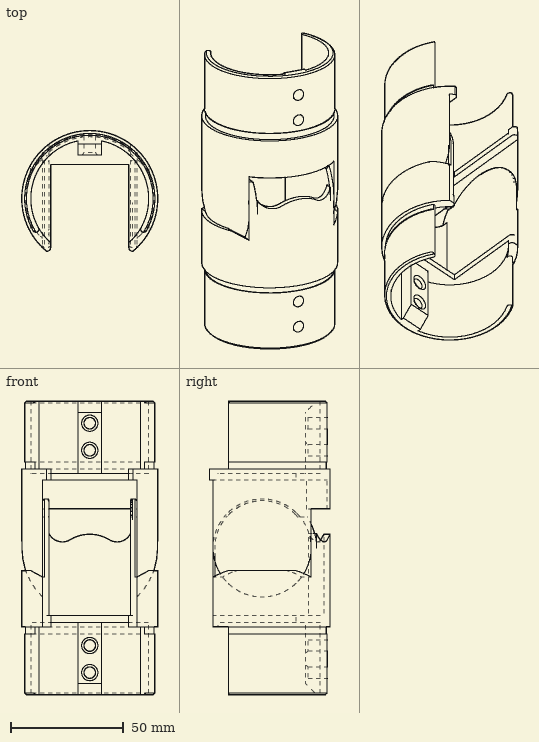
import cadquery as cq
import math

COLLAR_R = 30.15
COLLAR_END = 35.0
BODY_END = 65.0
CAP_INNER = 30.0
CAP_FLOOR = 33.0
SLOT_HALF = 17.25
SLOT_BACK = 15.0
SLOT_MOUTH_R = 1.7
HINGE_X = 20.9

SPIGOT_R = 28.85
NECK_R = 28.5
BORE_R = 26.1
NECK_LENGTH = 3.0
SPIGOT_FRONT = -14.9
SPIGOT_CHAMFER = 0.8

BLOCK_HALF = 5.2
BLOCK_FRONT = 19.2
BLOCK_BEVEL = 5.0
SCREW_HEIGHTS = (43.2, 55.2)
SCREW_D = 5.0
SCREW_SINK_D = 7.2

UPPER_TIP_Y = -23.35
UPPER_WALL_R = 28.7
UPPER_WALL_END = 17.3

CHEEK_INNER = 18.0
CHEEK_R = math.sqrt(COLLAR_R**2 - HINGE_X**2)
CHEEK_CHAMFER = 0.8
CHEEK_FILLET = 0.9
LOWER_WALL_R = 27.4
CHEEK_STEP = 13.6
RIM = -10.0
RIM_X = 26.2
RIM_INNER = -12.9
CREST = 6.1
VALLEY = 2.7
VALLEY_X = 12.1
VALLEY_R = 6.6

REACH = 80.0


def cylinder(radius, bottom, top):
    return cq.Workplane("XY").workplane(offset=bottom).circle(radius).extrude(top - bottom)


def block(x0, x1, y0, y1, z0, z1):
    return cq.Workplane("XY").box(x1 - x0, y1 - y0, z1 - z0, centered=False).translate((x0, y0, z0))


def domed_cylinder():
    """Collar cylinder below the pivot with a spherical top."""
    return (
        cq.Workplane("XZ")
        .moveTo(0, -CAP_INNER)
        .lineTo(COLLAR_R, -CAP_INNER)
        .lineTo(COLLAR_R, 0)
        .radiusArc((0, COLLAR_R), -COLLAR_R)
        .close()
        .revolve(360, (0, 0, 0), (0, 1, 0))
    )


def both_sides(shape):
    return shape.union(shape.mirror("YZ"))


def spigot():
    """Open tube above the shoulder with its neck groove and screw block."""
    neck_end = COLLAR_END + NECK_LENGTH
    edge_r = (SPIGOT_R - BORE_R) / 2
    edge_y = SPIGOT_FRONT + edge_r
    edge_x = math.sqrt((BORE_R + edge_r) ** 2 - edge_y**2)
    tube = cylinder(SPIGOT_R, neck_end, BODY_END).faces(">Z").edges().chamfer(SPIGOT_CHAMFER)
    envelope = tube.union(cylinder(NECK_R, CAP_FLOOR, neck_end))
    side_y = REACH * edge_y / edge_x
    opening = (
        cq.Workplane("XY").workplane(offset=CAP_FLOOR)
        .polyline([(0, 0), (-REACH, side_y), (-REACH, -REACH), (REACH, -REACH), (REACH, side_y)])
        .close()
        .extrude(BODY_END - CAP_FLOOR)
    )
    tube = envelope.cut(cylinder(BORE_R, CAP_FLOOR, BODY_END))
    edges = (
        cq.Workplane("XY").workplane(offset=CAP_FLOOR)
        .pushPoints([(-edge_x, edge_y), (edge_x, edge_y)])
        .circle(edge_r)
        .extrude(BODY_END - CAP_FLOOR)
    )
    tube = tube.cut(opening).union(edges.intersect(envelope))

    screw_block = (
        cq.Workplane("YZ").workplane(offset=-BLOCK_HALF)
        .moveTo(BLOCK_FRONT, CAP_FLOOR)
        .lineTo(BLOCK_FRONT, BODY_END - BLOCK_BEVEL)
        .lineTo(BLOCK_FRONT + BLOCK_BEVEL, BODY_END)
        .lineTo(SPIGOT_R, BODY_END)
        .lineTo(SPIGOT_R, CAP_FLOOR)
        .close()
        .extrude(2 * BLOCK_HALF)
    )
    tube = tube.union(screw_block.intersect(envelope))
    for height in SCREW_HEIGHTS:
        tube = tube.cut(screw_hole(height))
    return tube


def screw_hole(height):
    """Countersunk hole through the screw block and the spigot wall."""
    sink_depth = (SCREW_SINK_D - SCREW_D) / 2
    mouth = cq.Vector(0, BLOCK_FRONT, height)
    inward = cq.Vector(0, 1, 0)
    drill = cq.Solid.makeCylinder(SCREW_D / 2, REACH, mouth, inward)
    sink = cq.Solid.makeCone(SCREW_SINK_D / 2, SCREW_D / 2, sink_depth, mouth, inward)
    return cq.Workplane(drill.fuse(sink))


def cap(front):
    """Slotted end plate with the raised shoulder ring around the spigot's bore."""
    plate = cylinder(COLLAR_R, CAP_INNER, COLLAR_END)
    plate = plate.cut(block(-REACH, REACH, -REACH, front, CAP_INNER, COLLAR_END))
    plate = plate.cut(block(-SLOT_HALF, SLOT_HALF, -REACH, SLOT_BACK, CAP_INNER, COLLAR_END))
    for side in (-1, 1):
        tip = cq.selectors.NearestToPointSelector((side * SLOT_HALF, front, (CAP_INNER + COLLAR_END) / 2))
        plate = plate.edges("|Z").edges(tip).fillet(SLOT_MOUTH_R)
    return plate.cut(cylinder(BORE_R, CAP_FLOOR, COLLAR_END))


def upper_body():
    cheek = domed_cylinder().mirror("XY")
    cheek = cheek.intersect(block(HINGE_X, REACH, -REACH, REACH, -REACH, CAP_INNER))
    wall = cylinder(COLLAR_R, UPPER_WALL_END, CAP_INNER)
    wall = wall.cut(cylinder(UPPER_WALL_R, UPPER_WALL_END, CAP_INNER))
    wall = wall.intersect(block(-HINGE_X, HINGE_X, 0, REACH, UPPER_WALL_END, CAP_INNER))
    return cap(UPPER_TIP_Y).union(spigot()).union(both_sides(cheek)).union(wall)


def socket_opening():
    """Space above one socket's rim, which slopes down towards the hinge plane."""
    return (
        cq.Workplane("XZ").workplane(offset=-REACH)
        .moveTo(HINGE_X, RIM_INNER)
        .lineTo(RIM_X, RIM)
        .lineTo(REACH, RIM)
        .lineTo(REACH, REACH)
        .lineTo(HINGE_X, REACH)
        .close()
        .extrude(2 * REACH)
    )


def lower_cheek():
    """Round-topped hinge cheek, rounded inside and chamfered where it faces the upper body."""
    cheek_outline = (
        cq.Workplane("YZ").workplane(offset=CHEEK_INNER)
        .moveTo(-CHEEK_R, -CAP_INNER)
        .lineTo(-CHEEK_R, 0)
        .threePointArc((0, CHEEK_R), (CHEEK_R, 0))
        .lineTo(CHEEK_R, -CAP_INNER)
        .close()
        .extrude(HINGE_X - CHEEK_INNER)
    )
    above_bottom = -CAP_INNER + CHEEK_FILLET
    front_top = cq.selectors.BoxSelector((0, -REACH, above_bottom), (REACH, CHEEK_R / 2, REACH))
    cheek = cheek_outline.faces(">X").edges(front_top).chamfer(CHEEK_CHAMFER)
    cheek = cheek.faces("<X").edges(front_top).fillet(CHEEK_FILLET)
    back_block = block(CHEEK_INNER, HINGE_X, 0, REACH, -CAP_INNER, CHEEK_STEP)
    back_block = back_block.intersect(domed_cylinder())
    back_block = back_block.cut(block(0, REACH, 0, CHEEK_STEP, 0, REACH))
    corner = block(CHEEK_INNER + CHEEK_FILLET, HINGE_X, -CHEEK_R, 0, -CAP_INNER, RIM_INNER)
    return cheek.union(back_block).union(corner)


def wave_cutter():
    """Space above the back wall's top: one crest between two valleys, as tangent arcs."""
    drop = CREST - VALLEY
    crest_r = (VALLEY_X**2 + drop**2) / (2 * drop) - VALLEY_R
    blend = crest_r / (crest_r + VALLEY_R)
    blend_x = blend * VALLEY_X
    valley_z = VALLEY + VALLEY_R
    blend_z = (CREST - crest_r) + blend * (valley_z - CREST + crest_r)
    outer_x = VALLEY_X + VALLEY_R
    return (
        cq.Workplane("XZ")
        .moveTo(-outer_x, valley_z)
        .threePointArc((-VALLEY_X, VALLEY), (-blend_x, blend_z))
        .threePointArc((0, CREST), (blend_x, blend_z))
        .threePointArc((VALLEY_X, VALLEY), (outer_x, valley_z))
        .lineTo(outer_x, REACH)
        .lineTo(-outer_x, REACH)
        .close()
        .extrude(-REACH)
    )


def lower_body():
    cheek = lower_cheek()
    outer = cylinder(COLLAR_R, -CAP_INNER, 0)
    outer = outer.intersect(block(HINGE_X, REACH, -CHEEK_R, REACH, -CAP_INNER, 0))
    outer = outer.cut(socket_opening()).cut(cq.Workplane("XY").sphere(COLLAR_R))
    wall_top = COLLAR_R / 2
    wall = cylinder(COLLAR_R, -CAP_INNER, wall_top).cut(cylinder(LOWER_WALL_R, -CAP_INNER, wall_top))
    wall = wall.intersect(block(-CHEEK_INNER, CHEEK_INNER, 0, REACH, -CAP_INNER, wall_top)).cut(wave_cutter())
    end = cap(-CHEEK_R).union(spigot()).mirror("XY")
    return end.union(both_sides(cheek.union(outer))).union(wall)


upper = upper_body()
lower = lower_body()
result = cq.Compound.makeCompound([upper.solids().val(), lower.solids().val()])